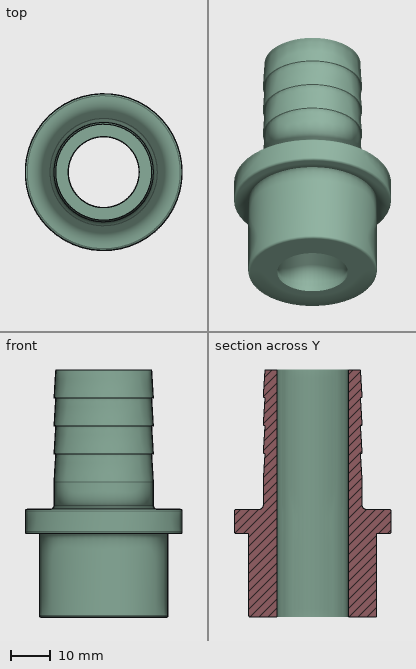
import cadquery as cq

total_height = 61.9
spigot_height = 20.9
flange_thickness = 6.1
flange_top = spigot_height + flange_thickness

bore_diameter = 17.7
spigot_diameter = 32.2
flange_diameter = 39.3
barb_tip_diameter = 24.0
barb_base_diameter = 24.9

barb_count = 4
barb_pitch = 7.0
barbs_bottom = total_height - barb_count * barb_pitch

edge_radius = 0.5
neck_fillet_radius = 1.0


def cylinder(diameter, bottom, height):
    return cq.Workplane("XY").workplane(offset=bottom).circle(diameter / 2).extrude(height)


def barbed_stem():
    """Plain neck above the flange, topped by barbs that narrow upward."""
    base_radius = barb_base_diameter / 2
    tip_radius = barb_tip_diameter / 2
    profile = cq.Workplane("XZ").moveTo(0, spigot_height).lineTo(base_radius, spigot_height)
    for barb in range(barb_count):
        bottom = barbs_bottom + barb * barb_pitch
        profile = profile.lineTo(base_radius, bottom)
        profile = profile.lineTo(tip_radius, bottom + barb_pitch)
    return profile.lineTo(0, total_height).close().revolve(360, (0, 0, 0), (0, 1, 0))


def neck_fillet():
    """Concave ring blending the neck into the top of the flange."""
    neck_radius = barb_base_diameter / 2
    outer_radius = neck_radius + neck_fillet_radius
    fillet_top = flange_top + neck_fillet_radius
    diagonal_gap = neck_fillet_radius * (1 - 0.5 ** 0.5)
    return (
        cq.Workplane("XZ")
        .moveTo(0, flange_top)
        .lineTo(outer_radius, flange_top)
        .threePointArc(
            (neck_radius + diagonal_gap, flange_top + diagonal_gap),
            (neck_radius, fillet_top),
        )
        .lineTo(0, fillet_top)
        .close()
        .revolve(360, (0, 0, 0), (0, 1, 0))
    )


spigot = cylinder(spigot_diameter, 0, spigot_height).faces("<Z").edges().fillet(edge_radius)
flange = cylinder(flange_diameter, spigot_height, flange_thickness).edges("%CIRCLE").fillet(edge_radius)
bore = cylinder(bore_diameter, 0, total_height)

result = spigot.union(flange).union(barbed_stem()).union(neck_fillet()).cut(bore)